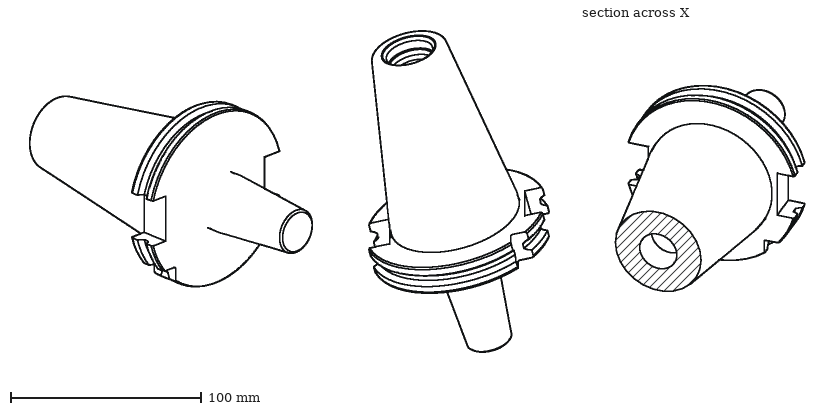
import cadquery as cq

total_length = 181.6

taper_end_x = 101.0
taper_end_radius = 34.9
taper_slope = 7 / 48
mouth_radius = taper_end_radius - taper_end_x * taper_slope
collar_start = 102.2
collar_relief = 0.09
collar_radius = taper_end_radius - collar_relief
mouth_fillet = 2.0

flange_start = 104.6
flange_end = 120.8
flange_diameter = 97.5
flange_radius = flange_diameter / 2
flange_chamfer_length = 1.0
flange_chamfer_depth = 0.5
collar_fillet = 0.7
groove_start = 109.5
groove_end = 116.2
groove_depth = 2.9
groove_flank_width = 1.0
groove_flank_depth = 2.0
groove_corner = groove_depth - groove_flank_depth

nose_radius = 16.0
nose_root_fillet = 1.8
nose_cone_start = 130.8
nose_tip_radius = 12.0
nose_chamfer = 1.0

mouth_bore_radius = 14.7
lip_length = 0.2
lip_radius = 14.2
pilot_start = 1.8
pilot_radius = 12.5
pilot_end = 6.5
pilot_end_chamfer = 0.5
inner_bore_radius = pilot_radius - pilot_end_chamfer
inner_bore_end = 10.2
inner_bore_chamfer = 0.4
thread_lead_in_radius = inner_bore_radius - inner_bore_chamfer
thread_start = 12.2
thread_radius = 10.4
thread_depth = 45.4
drill_tip_depth = 6.0

slot_width = 25.8
slot_floor_front = 37.5
slot_floor_back = 35.5
notch_offset = 30.0
notch_fillet = 1.3


def turned_body():
    """Revolve the outer half profile; sketch coordinates are (X, radius)."""
    flank_radius = flange_radius - groove_flank_depth
    groove_floor = flange_radius - groove_depth
    left_flank_x = groove_start + groove_flank_width
    right_flank_x = groove_end - groove_flank_width
    shoulder_radius = flange_radius - flange_chamfer_depth
    profile = (
        cq.Workplane("XY")
        .moveTo(0, 0)
        .lineTo(0, mouth_radius)
        .lineTo(taper_end_x, taper_end_radius)
        .lineTo(collar_start, collar_radius)
        .lineTo(flange_start - collar_fillet, collar_radius)
        .radiusArc((flange_start, collar_radius + collar_fillet), -collar_fillet)
        .lineTo(flange_start, shoulder_radius)
        .lineTo(flange_start + flange_chamfer_length, flange_radius)
        .lineTo(groove_start, flange_radius)
        .lineTo(left_flank_x, flank_radius)
        .lineTo(left_flank_x + groove_corner, groove_floor)
        .lineTo(right_flank_x - groove_corner, groove_floor)
        .lineTo(right_flank_x, flank_radius)
        .lineTo(groove_end, flange_radius)
        .lineTo(flange_end - flange_chamfer_length, flange_radius)
        .lineTo(flange_end, shoulder_radius)
        .lineTo(flange_end, nose_radius + nose_root_fillet)
        .radiusArc((flange_end + nose_root_fillet, nose_radius), -nose_root_fillet)
        .lineTo(nose_cone_start, nose_radius)
        .lineTo(total_length, nose_tip_radius)
        .lineTo(total_length, 0)
        .close()
    )
    body = profile.revolve(360, (0, 0, 0), (1, 0, 0))
    body = body.faces("<X").edges().fillet(mouth_fillet)
    return body.faces(">X").edges().chamfer(nose_chamfer)


def pull_stud_bore():
    """Stepped blind bore from the taper mouth, ending in a drill-point cone."""
    return (
        cq.Workplane("XY")
        .moveTo(0, 0)
        .lineTo(0, mouth_bore_radius)
        .lineTo(lip_length, lip_radius)
        .lineTo(pilot_start, pilot_radius)
        .lineTo(pilot_end, pilot_radius)
        .lineTo(pilot_end + pilot_end_chamfer, inner_bore_radius)
        .lineTo(inner_bore_end, inner_bore_radius)
        .lineTo(inner_bore_end + inner_bore_chamfer, thread_lead_in_radius)
        .lineTo(thread_start, thread_radius)
        .lineTo(thread_depth, thread_radius)
        .lineTo(thread_depth + drill_tip_depth, 0)
        .close()
        .revolve(360, (0, 0, 0), (1, 0, 0))
    )


def rim_cutter(y_inner, y_outer, z_low, z_high):
    """Block spanning the flange width between the given Y and Z limits."""
    return cq.Workplane("XY").box(
        flange_end - flange_start, y_outer - y_inner, z_high - z_low, centered=False
    ).translate((flange_start, y_inner, z_low))


front_slot = rim_cutter(-flange_radius, -slot_floor_front, -slot_width / 2, slot_width / 2)
back_slot = rim_cutter(slot_floor_back, flange_radius, -slot_width / 2, slot_width / 2)
notch = rim_cutter(-flange_radius, -notch_offset, -flange_radius, -notch_offset)
notch = notch.edges("|X and >Y and >Z").fillet(notch_fillet)

result = turned_body().cut(pull_stud_bore()).cut(front_slot).cut(back_slot).cut(notch)